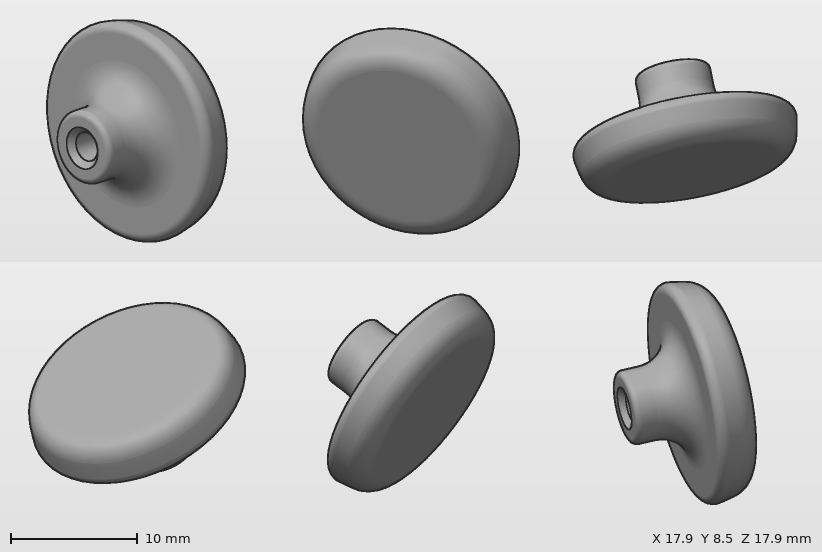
import cadquery as cq
import math


knob_radius = 8.97
knob_length = 8.5

stem_radius = 6.0 / 2
stem_length = 4.85
stem_end_fillet = 0.48
neck_fillet = stem_radius

rim_fillet = 0.75
side_crown_radius = 10.76
rim_end_angle = math.radians(8)
back_fillet = 1.83

hole_mouth_radius = 1.7
hole_top_radius = 1.18
hole_bottom_radius = 1.08
hole_bottom_chamfer = 0.29
hole_depth = 5.0


def on_circle(center, radius, angle):
    """Point on a profile circle; the angle runs from outward radial toward +Y."""
    return (center[0] + radius * math.cos(angle), center[1] + radius * math.sin(angle))


def make_body():
    """Revolve the outer profile, whose side arcs all meet tangentially."""
    rim_center = (knob_radius - rim_fillet, stem_length + rim_fillet)
    crown_center = on_circle(rim_center, rim_fillet - side_crown_radius, rim_end_angle)

    back_center_y = knob_length - back_fillet
    center_distance = side_crown_radius - back_fillet
    crown_end_angle = math.asin((back_center_y - crown_center[1]) / center_distance)
    back_center = on_circle(crown_center, center_distance, crown_end_angle)

    quarter_turn = math.pi / 2
    stem_fillet_center = (stem_radius - stem_end_fillet, stem_end_fillet)
    neck_center = (stem_radius + neck_fillet, stem_length - neck_fillet)

    profile = (
        cq.Workplane("XY")
        .moveTo(0, 0)
        .lineTo(stem_fillet_center[0], 0)
        .threePointArc(
            on_circle(stem_fillet_center, stem_end_fillet, -quarter_turn / 2),
            (stem_radius, stem_end_fillet),
        )
        .lineTo(stem_radius, neck_center[1])
        .threePointArc(
            on_circle(neck_center, neck_fillet, 1.5 * quarter_turn),
            (neck_center[0], stem_length),
        )
        .lineTo(rim_center[0], stem_length)
        .threePointArc(
            on_circle(rim_center, rim_fillet, (rim_end_angle - quarter_turn) / 2),
            on_circle(rim_center, rim_fillet, rim_end_angle),
        )
        .threePointArc(
            on_circle(crown_center, side_crown_radius, (rim_end_angle + crown_end_angle) / 2),
            on_circle(back_center, back_fillet, crown_end_angle),
        )
        .threePointArc(
            on_circle(back_center, back_fillet, (crown_end_angle + quarter_turn) / 2),
            (back_center[0], knob_length),
        )
        .lineTo(0, knob_length)
        .close()
    )
    return profile.revolve(360, (0, 0), (0, 1))


def make_hole():
    """Countersunk, slightly tapered blind hole with a chamfered bottom edge."""
    countersink_depth = hole_mouth_radius - hole_top_radius
    hole = (
        cq.Workplane("XY")
        .moveTo(0, 0)
        .lineTo(hole_mouth_radius, 0)
        .lineTo(hole_top_radius, countersink_depth)
        .lineTo(hole_bottom_radius, hole_depth)
        .lineTo(0, hole_depth)
        .close()
        .revolve(360, (0, 0), (0, 1))
    )
    return hole.faces(">Y").edges().chamfer(hole_bottom_chamfer)


result = make_body().cut(make_hole())